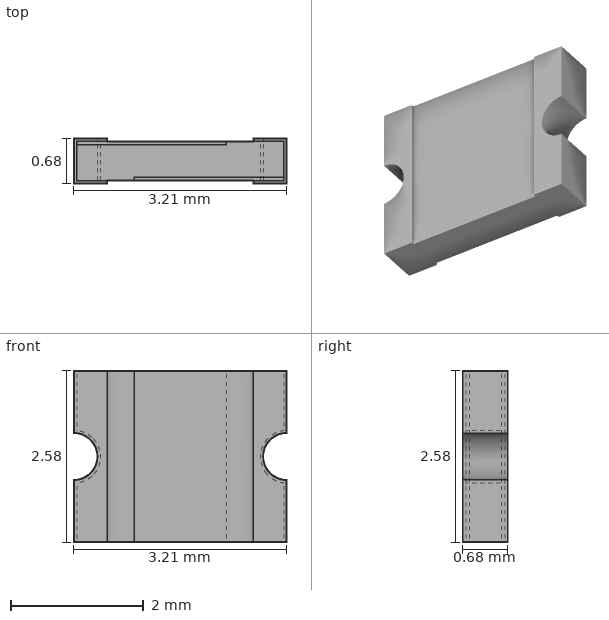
import cadquery as cq

length = 3.21
depth = 0.68
height = 2.58
plating = 0.045
flange_length = 0.5
notch_radius = 0.353
foil_thickness = 0.05
foil_gap = 0.867

core_length = length - 2 * plating
core_depth = depth - 2 * plating
foil_length = core_length - foil_gap


def end_cylinder(side, radius):
    """Cylinder along Y, centred on the middle of one end face (side is -1 or +1)."""
    return (
        cq.Workplane("XZ")
        .center(side * length / 2, 0)
        .circle(radius)
        .extrude(depth / 2, both=True)
    )


def make_envelope():
    """Core block with round end recesses that leave room for the notch plating."""
    envelope = cq.Workplane("XY").box(core_length, core_depth, height)
    for side in (-1, 1):
        envelope = envelope.cut(end_cylinder(side, notch_radius + plating))
    return envelope


def foil_blank(side):
    """Thin plate flush with a core face: back face for -1, front face for +1."""
    x_center = side * (core_length - foil_length) / 2
    y_center = -side * (core_depth - foil_thickness) / 2
    return (
        cq.Workplane("XY")
        .box(foil_length, foil_thickness, height)
        .translate((x_center, y_center, 0))
    )


def make_foil(side):
    """Electrode foil that starts at one end of the core, recessed around its notch."""
    return make_envelope().intersect(foil_blank(side))


def make_core():
    """Polymer core with a shallow recess for each foil."""
    core = make_envelope()
    for side in (-1, 1):
        core = core.cut(foil_blank(side))
    return core


def make_terminal(side):
    """U-shaped plated terminal with a half-round lined notch."""
    x_center = side * (length - flange_length) / 2
    block = (
        cq.Workplane("XY")
        .box(flange_length, depth, height)
        .translate((x_center, 0, 0))
    )
    return block.cut(make_envelope()).cut(end_cylinder(side, notch_radius))


core = make_core()
foils = [make_foil(side) for side in (-1, 1)]
terminals = [make_terminal(side) for side in (-1, 1)]

result = cq.Compound.makeCompound(
    [
        core.solids().val(),
        *[foil.solids().val() for foil in foils],
        *[terminal.solids().val() for terminal in terminals],
    ]
)